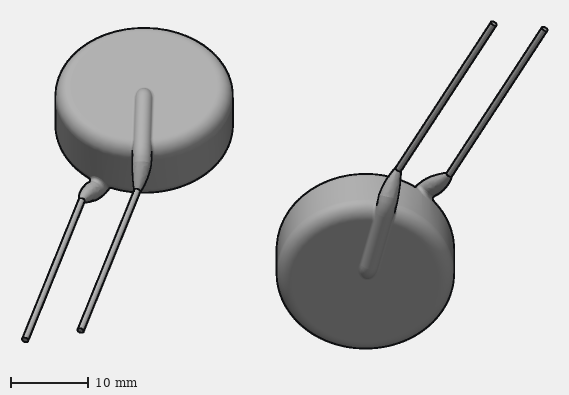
import cadquery as cq
import math

DISC_RADIUS = 11.51
DISC_THICKNESS = 9.2
DISC_EDGE_RADIUS = 2.0

WIRE_RADIUS = 0.45
WIRE_X = 3.75
WIRE_Z = 2.0
WIRE_START_Y = -15.9
OVERALL_LENGTH = 53.4
WIRE_LENGTH = OVERALL_LENGTH - DISC_RADIUS + WIRE_START_Y

OVERALL_HEIGHT = 10.8
RIDGE_RADIUS = 1.255
RIDGE_Z = OVERALL_HEIGHT / 2 - RIDGE_RADIUS
RIDGE_ANGLE = 15.0
RIDGE_START = 2.45
RIDGE_END = 10.9
INNER_BEND_RADIUS = 1.85
INNER_BEND_ANGLE = 90.0
OUTER_BEND_RADIUS = 4.15
OUTER_BEND_ANGLE = 30.0
RIDGE_BLEND_RADIUS = 0.45

COLLAR_MIDDLE = (3.65, -14.4, 2.6)
COLLAR_MIDDLE_RADIUS = 0.9
COLLAR_MIDDLE_SLOPE = 20.0
COLLAR_MIDDLE_SWING = 8.0

HALF_TURN = 180
CONTACT_TOLERANCE = 0.0005


def outward_direction(swing, slope):
    """Unit vector that leaves -Y by `swing` towards +X and dips by `slope`, in degrees."""
    swing = math.radians(swing)
    slope = math.radians(slope)
    return cq.Vector(
        math.cos(slope) * math.sin(swing),
        -math.cos(slope) * math.cos(swing),
        -math.sin(slope),
    )


def ridge_point(distance, height):
    """Point in the upright plane of the ridge."""
    radial = outward_direction(RIDGE_ANGLE, 0)
    return radial * distance + cq.Vector(0, 0, height)


def bend_point(angle):
    """Point on the ridge's outer bend after turning down by `angle` degrees."""
    turn = math.radians(angle)
    return ridge_point(
        RIDGE_END + OUTER_BEND_RADIUS * math.sin(turn),
        RIDGE_Z - OUTER_BEND_RADIUS * (1 - math.cos(turn)),
    )


def make_disc():
    disc = cq.Workplane("XY").circle(DISC_RADIUS).extrude(DISC_THICKNESS / 2, both=True)
    return disc.edges("%CIRCLE").fillet(DISC_EDGE_RADIUS)


def make_ridge():
    """Round ridge that rises out of the disc, runs outward and bends down past its edge."""
    inner_turn = math.radians(INNER_BEND_ANGLE / 2)
    buried_start = ridge_point(RIDGE_START - INNER_BEND_RADIUS, RIDGE_Z - INNER_BEND_RADIUS)
    inner_middle = ridge_point(
        RIDGE_START - INNER_BEND_RADIUS * math.sin(inner_turn),
        RIDGE_Z - INNER_BEND_RADIUS * (1 - math.cos(inner_turn)),
    )
    path = cq.Wire.assembleEdges([
        cq.Edge.makeThreePointArc(buried_start, inner_middle, ridge_point(RIDGE_START, RIDGE_Z)),
        cq.Edge.makeLine(ridge_point(RIDGE_START, RIDGE_Z), bend_point(0)),
        cq.Edge.makeThreePointArc(
            bend_point(0), bend_point(OUTER_BEND_ANGLE / 2), bend_point(OUTER_BEND_ANGLE)
        ),
    ])
    section = cq.Plane(origin=buried_start, normal=(0, 0, 1))
    return cq.Workplane(section).circle(RIDGE_RADIUS).sweep(cq.Workplane(path))


def section_circle(radius, center, direction):
    """Circle across `direction`, with its seam on the upper side."""
    seam = direction.cross(cq.Vector(1, 0, 0))
    plane = cq.Plane(origin=center, xDir=seam, normal=direction)
    return cq.Workplane(plane).circle(radius).wires().val()


def make_collar():
    sections = [
        section_circle(
            RIDGE_RADIUS,
            bend_point(OUTER_BEND_ANGLE),
            outward_direction(RIDGE_ANGLE, OUTER_BEND_ANGLE),
        ),
        section_circle(
            COLLAR_MIDDLE_RADIUS,
            cq.Vector(*COLLAR_MIDDLE),
            outward_direction(COLLAR_MIDDLE_SWING, COLLAR_MIDDLE_SLOPE),
        ),
        section_circle(
            WIRE_RADIUS, cq.Vector(WIRE_X, WIRE_START_Y, WIRE_Z), outward_direction(0, 0)
        ),
    ]
    return cq.Workplane(cq.Solid.makeLoft(sections))


def other_side(body):
    """The same shape turned half a turn about Y, for the lower lead."""
    return body.rotate((0, 0, 0), (0, 1, 0), HALF_TURN)


def lies_on(edge, shell):
    """True if two inner points of the edge both touch the shell."""
    points = [cq.Vertex.makeVertex(*edge.positionAt(t).toTuple()) for t in (0.3, 0.7)]
    return all(shell.distance(point) < CONTACT_TOLERANCE for point in points)


def make_coating():
    """Disc with a ridge and a collar for each of its two leads."""
    disc = make_disc()
    upper_ridge = make_ridge()
    ridges = [upper_ridge, other_side(upper_ridge)]
    coating = disc
    for ridge in ridges:
        coating = coating.union(ridge)

    disc_shell = disc.val().Shells()[0]
    for ridge in ridges:
        ridge_shell = ridge.val().Shells()[0]
        joint = [
            edge for edge in coating.edges().vals()
            if lies_on(edge, disc_shell) and lies_on(edge, ridge_shell)
        ]
        coating = coating.newObject(joint).fillet(RIDGE_BLEND_RADIUS)

    collar = make_collar()
    return coating.union(collar).union(other_side(collar))


def make_wire():
    return (
        cq.Workplane("XZ", origin=(WIRE_X, WIRE_START_Y, WIRE_Z))
        .circle(WIRE_RADIUS)
        .extrude(WIRE_LENGTH)
    )


coating = make_coating()
wires = [make_wire().rotate((0, 0, 0), (0, 1, 0), turn) for turn in (0, HALF_TURN)]

result = cq.Compound.makeCompound([coating.solids().val(), *[wire.val() for wire in wires]])